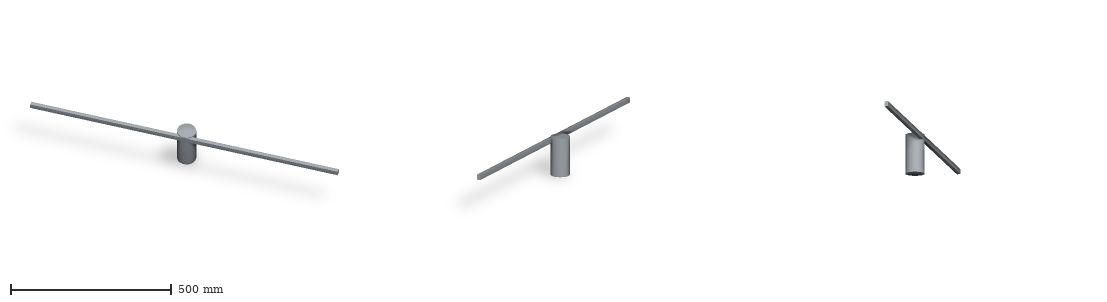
import cadquery as cq

bar_length = 1000.0
bar_depth = 12.0
bar_height = 16.0
bar_drop = 3.0

cylinder_diameter = 60.0
cylinder_height = 125.0

cylinder = cq.Workplane("XY").circle(cylinder_diameter / 2).extrude(cylinder_height)

bar_front = -cylinder_diameter / 2
bar_bottom = cylinder_height - bar_drop - bar_height
bar = (
    cq.Workplane("XY")
    .box(bar_length, bar_depth, bar_height, centered=(True, False, False))
    .translate((0, bar_front, bar_bottom))
)

result = cylinder.union(bar)